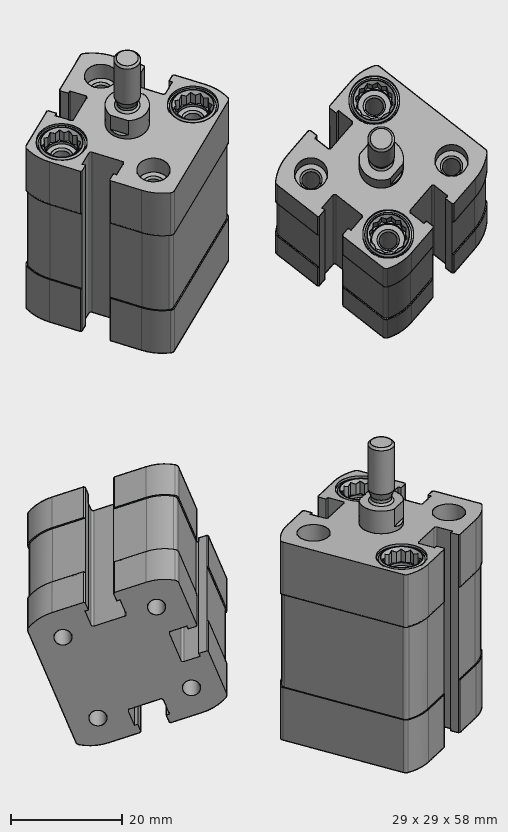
import cadquery as cq
import math

total_height = 58.05
body_height = 41.3
cap_height = 11.0

cap_half_width = 14.5
barrel_inset = 0.25
corner_arc_center_x = 9.05
corner_arc_center_y = 5.0
cap_corner_fillet = 0.85
barrel_corner_fillet = 1.05

slot_floor = 9.25
slot_half_width = 3.35
slot_lip = 1.8
slot_half_opening = 2.7
slot_floor_fillet = 0.4
slot_angles = (90, 180, 270)

hole_offset = 9.0
through_diameter = 3.25
through_mouth_diameter = 4.0
counterbore_diameter = 6.0
counterbore_depth = 3.6

ring_groove_diameter = 9.2
ring_floor_diameter = 8.5
ring_crest_diameter = 7.7
crest_depth = 0.1
socket_mouth_diameter = 7.55
socket_across_flats = 6.0
socket_depth = 3.0

collar_diameter = 8.0
collar_top = 46.0
neck_diameter = 3.8
neck_flare_diameter = 4.6
neck_top = 47.0
thread_diameter = 4.8
thread_bottom = 48.5
thread_tip_diameter = 3.95
flat_half_distance = 3.6
flat_bottom = 42.4
flat_ramp_drop = 0.35


def outline(half_width, corner_fillet, z_start, height):
    """Square block with large crowned corners and a small fillet at each side."""
    arc_radius = half_width - corner_arc_center_y

    def on_arc(x):
        return corner_arc_center_y + math.sqrt(arc_radius**2 - (x - corner_arc_center_x) ** 2)

    middle_x = (corner_arc_center_x + half_width) / 2
    side_y = on_arc(half_width)
    middle_y = on_arc(middle_x)
    block = (
        cq.Workplane("XY", origin=(0, 0, z_start))
        .moveTo(-corner_arc_center_x, half_width)
        .lineTo(corner_arc_center_x, half_width)
        .threePointArc((middle_x, middle_y), (half_width, side_y))
        .lineTo(half_width, -side_y)
        .threePointArc((middle_x, -middle_y), (corner_arc_center_x, -half_width))
        .lineTo(-corner_arc_center_x, -half_width)
        .threePointArc((-middle_x, -middle_y), (-half_width, -side_y))
        .lineTo(-half_width, side_y)
        .threePointArc((-middle_x, middle_y), (-corner_arc_center_x, half_width))
        .close()
        .extrude(height)
    )
    return block.edges("|Z and (>X or <X)").fillet(corner_fillet)


def slot_cutter():
    """T-slot on the +X side: a wide channel, a narrower opening and chamfered outer edges."""
    channel_end = cap_half_width - slot_lip
    channel = (
        cq.Workplane("XY")
        .rect(channel_end - slot_floor, 2 * slot_half_width)
        .extrude(body_height)
        .translate(((channel_end + slot_floor) / 2, 0, 0))
        .edges("|Z and <X")
        .fillet(slot_floor_fillet)
    )
    chamfer_start = cap_half_width - barrel_inset
    chamfer_half_width = slot_half_opening + barrel_inset
    opening = (
        cq.Workplane("XY")
        .polyline([
            (channel_end, -slot_half_opening),
            (chamfer_start, -slot_half_opening),
            (cap_half_width, -chamfer_half_width),
            (cap_half_width, chamfer_half_width),
            (chamfer_start, slot_half_opening),
            (channel_end, slot_half_opening),
        ])
        .close()
        .extrude(body_height)
    )
    return channel.union(opening)


def revolved(points):
    """Solid of revolution about Z from (radius, z) points."""
    return cq.Workplane("XZ").polyline(points).close().revolve(360, (0, 0), (0, 1))


def screw_hole_cutter():
    """Counterbore with a chamfered through hole, on the Z axis."""
    through_radius = through_diameter / 2
    mouth_radius = through_mouth_diameter / 2
    counterbore_radius = counterbore_diameter / 2
    counterbore_floor = body_height - counterbore_depth
    return revolved([
        (0, 0),
        (through_radius, 0),
        (through_radius, counterbore_floor - (mouth_radius - through_radius)),
        (mouth_radius, counterbore_floor),
        (counterbore_radius, counterbore_floor),
        (counterbore_radius, body_height),
        (0, body_height),
    ])


def socket_cutter():
    """Twelve-point socket with a conical mouth and a ring groove around it, on the Z axis."""
    corner_diameter = socket_across_flats / math.cos(math.radians(30))
    socket_bottom = cq.Workplane("XY", origin=(0, 0, body_height - socket_depth))
    hexagon = socket_bottom.polygon(6, corner_diameter).extrude(socket_depth)
    socket = hexagon.union(hexagon.rotate((0, 0, 0), (0, 0, 1), 30))

    mouth_radius = socket_mouth_diameter / 2
    crest_radius = ring_crest_diameter / 2
    floor_radius = ring_floor_diameter / 2
    groove_radius = ring_groove_diameter / 2
    crest_z = body_height - crest_depth
    ring_floor = crest_z - (floor_radius - crest_radius)
    mouth_and_groove = revolved([
        (0, body_height),
        (0, crest_z - mouth_radius),
        (mouth_radius, crest_z),
        (crest_radius, crest_z),
        (floor_radius, ring_floor),
        (groove_radius, ring_floor),
        (groove_radius, body_height),
    ])
    return socket.union(mouth_and_groove)


def make_housing():
    barrel_height = body_height - 2 * cap_height
    housing = outline(
        cap_half_width - barrel_inset, barrel_corner_fillet, cap_height, barrel_height
    )
    for z_start in (0, body_height - cap_height):
        housing = housing.union(outline(cap_half_width, cap_corner_fillet, z_start, cap_height))

    for angle in slot_angles:
        housing = housing.cut(slot_cutter().rotate((0, 0, 0), (0, 0, 1), angle))

    for x_side in (-1, 1):
        for y_side in (-1, 1):
            position = (x_side * hole_offset, y_side * hole_offset, 0)
            housing = housing.cut(screw_hole_cutter().translate(position))
            if x_side == y_side:
                housing = housing.cut(socket_cutter().translate(position))
    return housing


def make_piston_rod():
    """Collar standing on the housing, with a neck and a threaded end above it."""
    collar_radius = collar_diameter / 2
    neck_radius = neck_diameter / 2
    flare_radius = neck_flare_diameter / 2
    thread_radius = thread_diameter / 2
    tip_radius = thread_tip_diameter / 2
    rod = revolved([
        (0, body_height),
        (collar_radius, body_height),
        (collar_radius, collar_top),
        (flare_radius, collar_top),
        (neck_radius, collar_top + flare_radius - neck_radius),
        (neck_radius, neck_top),
        (thread_radius, thread_bottom),
        (thread_radius, total_height - (thread_radius - tip_radius)),
        (tip_radius, total_height),
        (0, total_height),
    ])

    flat = (
        cq.Workplane("YZ")
        .polyline([
            (flat_half_distance, flat_bottom),
            (flat_half_distance, collar_top),
            (collar_radius, collar_top),
            (collar_radius, flat_bottom - flat_ramp_drop),
        ])
        .close()
        .extrude(collar_radius, both=True)
    )
    return rod.cut(flat).cut(flat.mirror("XZ"))


housing = make_housing()
piston_rod = make_piston_rod()

result = cq.Compound.makeCompound([housing.val(), piston_rod.val()])